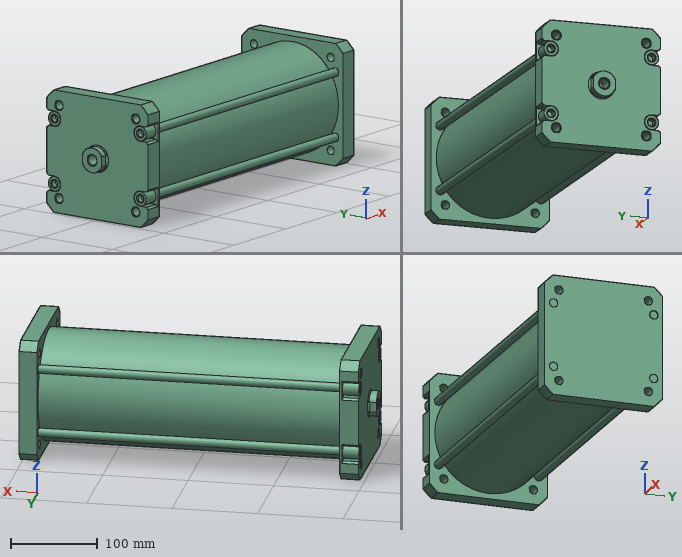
import cadquery as cq
import math


plate_size = 145.0
corner_turning_diameter = 191.0
front_plate_thickness = 22.0
rear_plate_thickness = 21.0
barrel_length = 354.0
barrel_diameter = 132.0
rear_plate_start = front_plate_thickness + barrel_length
rear_face = rear_plate_start + rear_plate_thickness

mount_spacing = 110.0
mount_diameter = 10.0
mount_chamfer = 1.0

tie_spacing_y = 123.0
tie_spacing_z = 77.0
tie_diameter = 10.0
long_tie_protrusion = 1.0
head_diameter = 17.0
head_length = 19.0
socket_diameter = 8.5
socket_depth = 8.0
socket_chamfer = 1.0

slot_width = 18.0
slot_mouth_chamfer = 2.5

rod_diameter = 32.0
rod_end_diameter = 29.5
rod_collar_length = 0.25
rod_protrusion = 10.0
rod_flats = 27.0
rod_hole_diameter = 12.0
rod_hole_chamfer = 1.0
rod_hole_depth = 20.0
drill_point_angle = 118.0

tie_positions = [
    (side_y * tie_spacing_y / 2, side_z * tie_spacing_z / 2) for side_y in (-1, 1) for side_z in (-1, 1)
]


def section_at(x):
    """Workplane facing +X at the given X, with local axes along Y and Z."""
    return cq.Workplane("YZ", origin=(x, 0, 0))


def revolve_about_x(profile):
    """Solid of revolution about X from a profile of (x, radius) points."""
    return cq.Workplane("XY").polyline(profile).close().revolve(360, (0, 0, 0), (1, 0, 0))


def plate_blank(start, thickness):
    """Square plate with corners turned about X, tie rod holes and mounting holes."""
    plate = section_at(start).rect(plate_size, plate_size).extrude(thickness)
    plate = plate.intersect(section_at(start).circle(corner_turning_diameter / 2).extrude(thickness))
    mounts = section_at(start).rect(mount_spacing, mount_spacing, forConstruction=True).vertices()
    plate = plate.cut(mounts.circle(mount_diameter / 2).extrude(thickness))
    ties = section_at(start).pushPoints(tie_positions)
    return plate.cut(ties.circle(tie_diameter / 2).extrude(thickness))


def mount_countersinks():
    """Cones that break the mounting hole edges on the outer face of the front plate."""
    mounts = section_at(0).rect(mount_spacing, mount_spacing, forConstruction=True).vertices()
    return mounts.circle(mount_diameter / 2 + mount_chamfer).extrude(mount_chamfer, taper=45)


def head_slot(y, z):
    """Round-ended slot around a tie rod head, open to the nearest side with a flared mouth."""
    side = math.copysign(1, y)
    half_width = slot_width / 2
    side_face = side * plate_size / 2
    mouth_start = side_face - side * slot_mouth_chamfer
    mouth_half_width = half_width + slot_mouth_chamfer
    outline = (
        section_at(0)
        .moveTo(y, z + half_width)
        .threePointArc((y - side * half_width, z), (y, z - half_width))
        .lineTo(mouth_start, z - half_width)
        .lineTo(side_face, z - mouth_half_width)
        .lineTo(side_face, z + mouth_half_width)
        .lineTo(mouth_start, z + half_width)
        .close()
    )
    return outline.extrude(head_length)


def make_front_plate():
    plate = plate_blank(0, front_plate_thickness).cut(mount_countersinks())
    for y, z in tie_positions:
        plate = plate.cut(head_slot(y, z))
    return plate.cut(section_at(0).circle(rod_diameter / 2).extrude(front_plate_thickness))


def make_rear_plate():
    return plate_blank(rear_plate_start, rear_plate_thickness)


def make_barrel():
    return section_at(front_plate_thickness).circle(barrel_diameter / 2).extrude(barrel_length)


def make_piston_rod():
    """Rod through the front plate, with a flatted and drilled end and a cone at the foot of the flats."""
    rod_radius = rod_diameter / 2
    flat_radius = rod_flats / 2
    cone_start = rod_collar_length + rod_radius - flat_radius
    core = revolve_about_x([
        (-rod_protrusion, 0),
        (-rod_protrusion, flat_radius),
        (-cone_start, flat_radius),
        (-rod_collar_length, rod_radius),
        (front_plate_thickness, rod_radius),
        (front_plate_thickness, 0),
    ])
    end = section_at(-rod_protrusion).circle(rod_end_diameter / 2).extrude(rod_protrusion)
    flats = section_at(-rod_protrusion).rect(rod_flats, rod_diameter).extrude(rod_protrusion)
    hole_radius = rod_hole_diameter / 2
    hole_bottom = rod_hole_depth - rod_protrusion
    point_length = hole_radius / math.tan(math.radians(drill_point_angle / 2))
    hole = revolve_about_x([
        (-rod_protrusion, 0),
        (-rod_protrusion, hole_radius + rod_hole_chamfer),
        (-rod_protrusion + rod_hole_chamfer, hole_radius),
        (hole_bottom, hole_radius),
        (hole_bottom + point_length, 0),
    ])
    return core.union(end.intersect(flats)).cut(hole)


def make_tie_rod(y, z):
    """Tie rod with a round socketed head, flush with both faces; the +Y +Z one is proud at the rear."""
    is_long = y > 0 and z > 0
    rod_end = rear_face + (long_tie_protrusion if is_long else 0)
    rod_radius = tie_diameter / 2
    head_radius = head_diameter / 2
    socket_radius = socket_diameter / 2
    tie_rod = revolve_about_x([
        (socket_depth, 0),
        (socket_depth, socket_radius),
        (socket_chamfer, socket_radius),
        (0, socket_radius + socket_chamfer),
        (0, head_radius),
        (head_length, head_radius),
        (head_length, rod_radius),
        (rod_end, rod_radius),
        (rod_end, 0),
    ])
    return tie_rod.translate((0, y, z))


front_plate = make_front_plate()
rear_plate = make_rear_plate()
barrel = make_barrel()
piston_rod = make_piston_rod()
tie_rods = [make_tie_rod(y, z) for y, z in tie_positions]

result = cq.Compound.makeCompound([
    front_plate.val(),
    rear_plate.val(),
    barrel.val(),
    piston_rod.val(),
    *[tie_rod.val() for tie_rod in tie_rods],
])